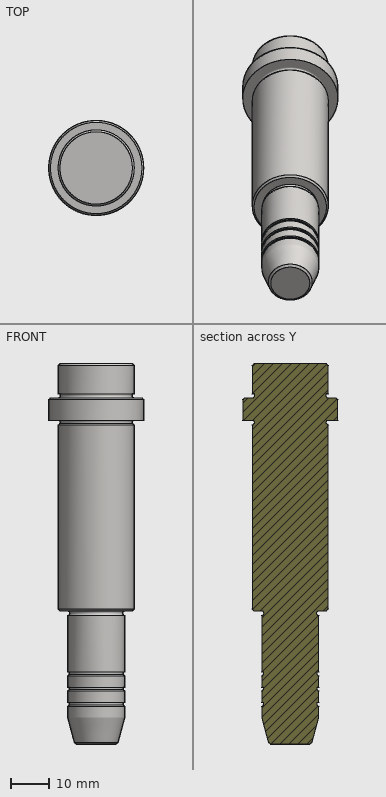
import cadquery as cq
import math

total_height = 100.0
head_bottom = 92.0
flange_top = 91.0
flange_bottom = 85.0
body_top = 84.3
body_bottom = 35.0
pilot_top = 33.8
taper_height = 7.0

body_radius = 10.0
flange_radius = 12.5
pilot_radius = 7.5
flange_neck_radius = 9.5
pilot_neck_waist_radius = 7.0
pilot_neck_upper_radius = 7.3

edge_chamfer = 0.5
taper_angle = 15.0
neck_fillet = 0.4

groove_count = 3
groove_pitch = 4.0
first_groove_bottom = 10.0
groove_width = 1.0
groove_depth = 0.4


def cylinder(radius, bottom, top):
    """Cylinder about the Z axis between two heights."""
    return cq.Workplane("XY").workplane(offset=bottom).circle(radius).extrude(top - bottom)


def make_pilot():
    """Pilot with a tapered, chamfered tip."""
    tip_radius = pilot_radius - taper_height * math.tan(math.radians(taper_angle))
    taper = (
        cq.Workplane("XY")
        .circle(tip_radius)
        .workplane(offset=taper_height)
        .circle(pilot_radius)
        .loft(ruled=True)
        .faces("<Z")
        .chamfer(edge_chamfer)
    )
    return taper.union(cylinder(pilot_radius, taper_height, pilot_top))


def make_groove(bottom):
    """Ring with its lower side beveled, to be cut from the pilot."""
    floor_radius = pilot_radius - groove_depth
    outline = [
        (floor_radius, bottom + groove_depth),
        (pilot_radius, bottom),
        (pilot_radius, bottom + groove_width),
        (floor_radius, bottom + groove_width),
    ]
    return cq.Workplane("XZ").polyline(outline).close().revolve(360, (0, 0, 0), (0, 1, 0))


def make_pilot_neck():
    """Waisted neck with a concave arc profile between the pilot and the body."""
    waist_height = (pilot_top + body_bottom) / 2
    profile = (
        cq.Workplane("XZ")
        .moveTo(0, pilot_top)
        .lineTo(pilot_radius, pilot_top)
        .threePointArc((pilot_neck_waist_radius, waist_height), (pilot_neck_upper_radius, body_bottom))
        .lineTo(0, body_bottom)
        .close()
    )
    return profile.revolve(360, (0, 0, 0), (0, 1, 0))


pilot = make_pilot()
for index in range(groove_count):
    pilot = pilot.cut(make_groove(first_groove_bottom + index * groove_pitch))

body = cylinder(body_radius, body_bottom, body_top).faces("<Z or >Z").chamfer(edge_chamfer)
flange = cylinder(flange_radius, flange_bottom, flange_top).faces(">Z").chamfer(edge_chamfer)
head = cylinder(body_radius, head_bottom, total_height).faces(">Z").chamfer(edge_chamfer)

pilot_neck = make_pilot_neck()
body_neck = cylinder(flange_neck_radius, body_top, flange_bottom)
head_neck = cylinder(flange_neck_radius, flange_top, head_bottom)

result = pilot
for section in (pilot_neck, body, body_neck, flange, head_neck, head):
    result = result.union(section)

for height in (flange_bottom, flange_top):
    root_box = cq.selectors.BoxSelector(
        (-flange_neck_radius, -flange_neck_radius, height - neck_fillet),
        (flange_neck_radius, flange_neck_radius, height + neck_fillet),
    )
    root_circle = cq.selectors.RadiusNthSelector(0)
    result = result.edges(root_box).edges("%CIRCLE").edges(root_circle).fillet(neck_fillet)